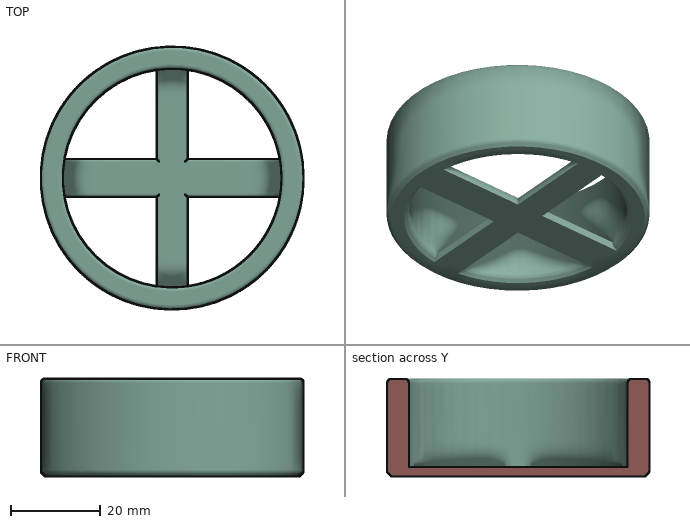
import cadquery as cq

outer_diameter = 59.0
bore_diameter = 49.0
height = 22.0
top_round = 1.0
base_chamfer = 1.0
base_blend = 1.0

x_bar_width = 8.55
y_bar_width = 7.0
cross_height = 2.2
cross_round = 0.7


def make_ring():
    """Ring with rounded top rims and blended chamfers on both base rims."""
    ring = cq.Workplane("XY").circle(outer_diameter / 2).circle(bore_diameter / 2).extrude(height)
    ring = ring.faces(">Z").edges().fillet(top_round)
    ring = ring.faces("<Z").edges().chamfer(base_chamfer)
    wall_corners = cq.selectors.BoxSelector(
        (-outer_diameter, -outer_diameter, base_chamfer / 2),
        (outer_diameter, outer_diameter, height / 2),
    )
    return ring.edges("%CIRCLE").edges(wall_corners).fillet(base_blend)


def make_bar(length_x, length_y):
    """Flat bar centred on the ring axis and resting on the base plane."""
    return cq.Workplane("XY").rect(length_x, length_y).extrude(cross_height)


def make_cross():
    """Two crossing bars with rounded upper edges, ending inside the ring wall."""
    cross = make_bar(outer_diameter, x_bar_width).union(make_bar(y_bar_width, outer_diameter))
    cross = cross.faces(">Z").edges().fillet(cross_round)
    trim_diameter = (outer_diameter + bore_diameter) / 2
    return cross.intersect(cq.Workplane("XY").circle(trim_diameter / 2).extrude(cross_height))


result = make_ring().union(make_cross())